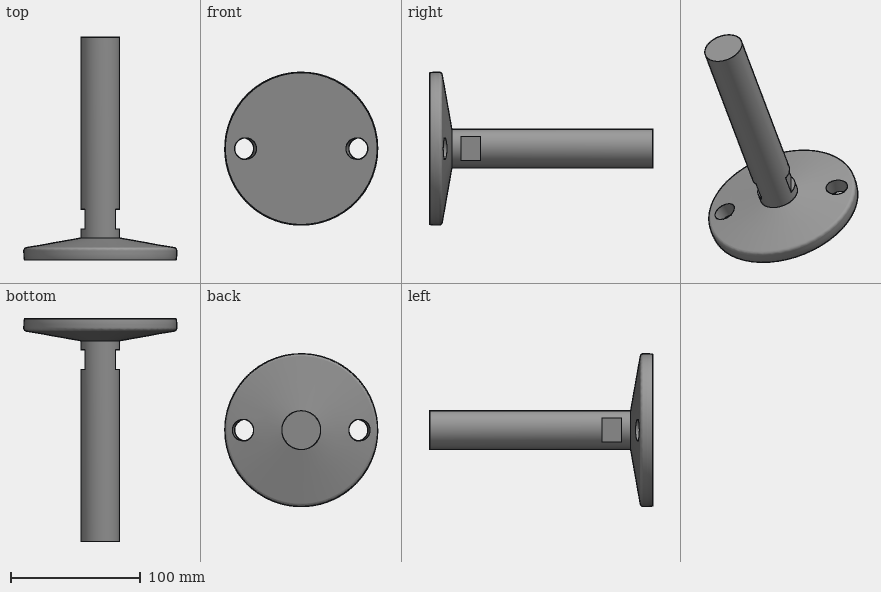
import cadquery as cq
import math

total_length = 172.0
foot_diameter = 118.0
stem_diameter = 30.0
foot_radius = foot_diameter / 2
stem_radius = stem_diameter / 2

cone_top = 17.2
cone_angle = 10.0
rim_fillet = 2.5
lower_edge_height = 4.3
lower_edge_inset = 0.5

flat_start = 24.0
flat_length = 15.1
across_flats = 23.5

hole_diameter = 16.5
hole_offset = 42.8
hole_reach = 34.4

cone_slope = math.tan(math.radians(cone_angle))
cone_rim_height = cone_top - (foot_radius - stem_radius) * cone_slope


def make_foot():
    """Conical disc with a slightly rounded-in lower edge and a filleted upper rim."""
    edge_arc_radius = (lower_edge_height**2 + lower_edge_inset**2) / (2 * lower_edge_inset)
    middle_height = lower_edge_height / 2
    arc_drop = edge_arc_radius - math.sqrt(edge_arc_radius**2 - middle_height**2)
    profile = (
        cq.Workplane("XY")
        .lineTo(foot_radius - lower_edge_inset, 0)
        .threePointArc((foot_radius - arc_drop, middle_height), (foot_radius, lower_edge_height))
        .lineTo(foot_radius, cone_rim_height)
        .lineTo(stem_radius, cone_top)
        .lineTo(0, cone_top)
        .close()
    )
    foot = profile.revolve(360, (0, 0), (0, 1))
    rim_centre = (0, cone_rim_height, 0)
    return foot.edges("%CIRCLE").edges(cq.selectors.NearestToPointSelector(rim_centre)).fillet(rim_fillet)


def make_stem():
    """Round stem with two opposite wrench flats facing -X and +X."""
    stem_length = total_length - cone_top
    stem = cq.Workplane(
        cq.Solid.makeCylinder(stem_radius, stem_length, cq.Vector(0, cone_top, 0), cq.Vector(0, 1, 0))
    )
    flat_middle = flat_start + flat_length / 2
    for side in (-1, 1):
        cutter = cq.Workplane("XY").box(stem_radius, flat_length, stem_diameter)
        cutter_x = side * (across_flats + stem_radius) / 2
        stem = stem.cut(cutter.translate((cutter_x, flat_middle, 0)))
    return stem


def make_hole_cutter(side):
    """Cylinder leaning outward from the foot face on one side of the axis."""
    tilt = math.radians(cone_angle)
    direction = cq.Vector(side * math.sin(tilt), math.cos(tilt), 0)
    start = cq.Vector(side * hole_offset, 0, 0) - direction * hole_reach
    return cq.Workplane(cq.Solid.makeCylinder(hole_diameter / 2, 2 * hole_reach, start, direction))


result = make_foot().union(make_stem())
for hole_side in (-1, 1):
    result = result.cut(make_hole_cutter(hole_side))